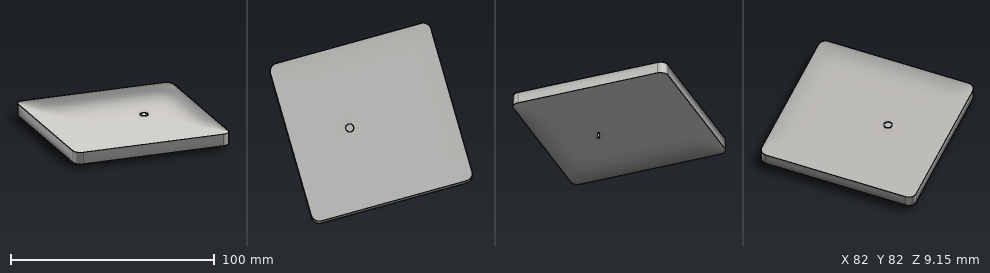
import cadquery as cq

plate_side = 82.0
plate_thickness = 6.15
corner_radius = 4.0

pin_offset_y = 11.0
pin_diameter = 0.9
pin_protrusion = 2.7
head_diameter = 4.0
head_height = 0.3

plate = (
    cq.Workplane("XY")
    .rect(plate_side, plate_side)
    .extrude(plate_thickness)
    .edges("|Z")
    .fillet(corner_radius)
)

head = (
    cq.Workplane("XY", origin=(0, pin_offset_y, plate_thickness))
    .circle(head_diameter / 2)
    .extrude(head_height)
)

pin = (
    cq.Workplane("XY", origin=(0, pin_offset_y, -pin_protrusion))
    .circle(pin_diameter / 2)
    .extrude(pin_protrusion + plate_thickness)
)

result = plate.union(head).union(pin)